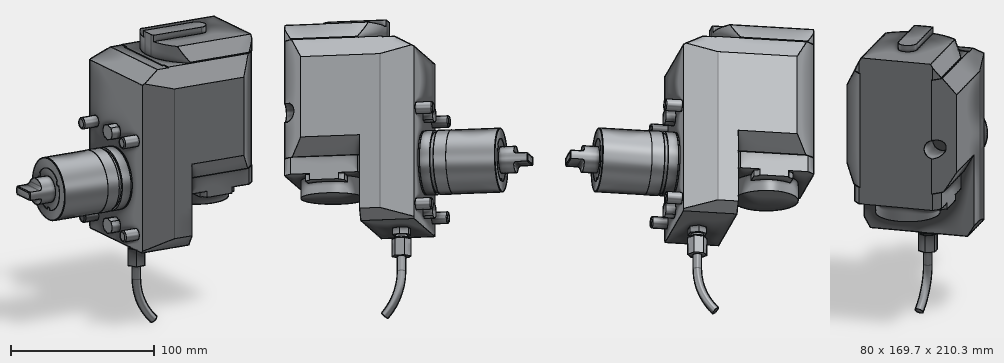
import cadquery as cq
import math


overall_height = 210.3

half_width = 40.0
face_half_width = 36.2
taper_length = 23.5
back_y = 94.2
back_half_width = 26.0
back_chamfer_length = 14.3
body_top = 85.2
body_bottom = 1.7
plate_bottom = -45.8
plate_back = 38.0
plate_step = 0.5
plate_bevel_depth = 14.5
plate_bevel_drop = 8.2
tongue_half_width = 25.9
tongue_front = 22.3

bevel_angle = 30.0
bevel_slope = math.tan(math.radians(bevel_angle))
wedge_overhang = 2.0
bevel_height_top = 13.9
bevel_height_body = 12.6
bevel_height_plate = 8.0

head_y = 65.2
head_radius = 39.5
head_half_width = 31.5
head_flat = 25.9
cap_top = 96.7
key_top = 101.4
key_width = 13.5
flange_bottom = -10.3
lug_bottom = -14.7
lug_width = 27.8
lug_corner_radius = 3.5
boss_diameter = 45.0
boss_bottom = -22.7

inlet_diameter = 13.5
inlet_x = -27.3
inlet_z = 34.0
inlet_depth = 21.0

shank_diameter = 45.0
shank_end_diameter = 44.8
relief_diameter = 44.5
groove_diameter = 42.0
shank_length = 54.9
shank_collar_length = 19.8
relief_length = 1.0
groove_start = 8.2
groove_end = 10.7
shank_chamfer = 0.5
drive_diameter = 18.7
drive_shoulder = 65.2
drive_end = 75.5
tang_thickness = 6.0
tang_fillet = 2.0
tang_chamfer = 0.6

inset_diameter = 30.0
inset_depth = 0.2
notch_radius = 1.9
notch_angles = (30, 150, 270)

bolt_diameter = 8.2
bolt_x = 27.8
bolt_z = 34.0
upper_bolt_length = 12.0
lower_bolt_length = 11.4
bolt_chamfer = 0.8
pin_diameter = 12.2
pin_length = 7.0
pin_ridge = 5.5
pin_relief_half_width = 4.5

hose_y = 16.5
upper_nut_corners = 13.5
upper_nut_bottom = -50.5
neck_diameter = 8.8
neck_bottom = -52.2
collar_diameter = 9.9
lower_nut_top = -53.2
lower_nut_bottom = -65.6
lower_nut_corners = 13.7
hose_diameter = 6.0
hose_bend_angle = 45.0
hose_bend_radius = 43.5
hose_heading = 78.0
hose_lowest = key_top - overall_height


def cylinder_y(diameter, y_start, y_end, x=0.0, z=0.0):
    """Cylinder along Y that runs from y_start down to y_end."""
    plane = cq.Plane(origin=(x, y_start, z), xDir=(1, 0, 0), normal=(0, -1, 0))
    return cq.Workplane(plane).circle(diameter / 2).extrude(y_start - y_end)


def cylinder_z(diameter, z_low, z_high, y):
    """Vertical cylinder centred on x = 0."""
    return cq.Workplane("XY", origin=(0, y, z_low)).circle(diameter / 2).extrude(z_high - z_low)


def block(x_size, y_low, y_high, z_low, z_high):
    """Box centred on x = 0."""
    base = cq.Workplane("XY", origin=(0, y_low, z_low))
    return base.box(x_size, y_high - y_low, z_high - z_low, centered=(True, False, False))


def side_bevels(z_start, z_end, y_low, y_high):
    """Pair of wedges that cut the sides inward from z_start to z_end."""
    run = abs(z_end - z_start) * bevel_slope
    outer = half_width + wedge_overhang
    wedge = (
        cq.Workplane("XZ", origin=(0, y_high, 0))
        .polyline([(half_width, z_start), (half_width - run, z_end), (outer, z_end), (outer, z_start)])
        .close()
        .extrude(y_high - y_low)
    )
    return wedge.union(wedge.mirror("YZ"))


def make_housing():
    plate_top = body_top - plate_step
    side_outline = [
        (0, plate_bottom),
        (plate_back, plate_bottom),
        (plate_back, body_bottom),
        (back_y, body_bottom),
        (back_y, body_top),
        (tongue_front, body_top),
        (tongue_front, plate_top),
        (plate_bevel_depth, plate_top),
        (0, plate_top - plate_bevel_drop),
    ]
    right_plan = [
        (face_half_width, 0),
        (half_width, taper_length),
        (half_width, back_y - back_chamfer_length),
        (back_half_width, back_y),
    ]
    plan_outline = right_plan + [(-x, y) for x, y in reversed(right_plan)]
    housing = cq.Workplane("YZ").polyline(side_outline).close().extrude(half_width, both=True)
    plan = cq.Workplane("XY", origin=(0, 0, plate_bottom)).polyline(plan_outline).close()
    housing = housing.intersect(plan.extrude(body_top - plate_bottom))

    step = block(2 * half_width, tongue_front, taper_length, plate_top, body_top)
    tongue = block(2 * tongue_half_width, tongue_front, taper_length, plate_top, body_top)
    housing = housing.cut(step.cut(tongue))

    housing = housing.cut(side_bevels(body_top - bevel_height_top, body_top, 0, back_y))
    housing = housing.cut(side_bevels(body_bottom + bevel_height_body, body_bottom, plate_back, back_y))
    housing = housing.cut(side_bevels(plate_bottom + bevel_height_plate, plate_bottom, 0, plate_back))
    inlet = cylinder_y(inlet_diameter, back_y, back_y - inlet_depth, inlet_x, inlet_z)
    return housing.cut(inlet)


def head_disc(z_low, z_high, front_y):
    """Round head plate with flat sides, front and back."""
    disc = cylinder_z(2 * head_radius, z_low, z_high, head_y)
    return disc.intersect(block(2 * head_half_width, front_y, back_y, z_low, z_high))


def make_cap():
    bevels = side_bevels(body_top - bevel_height_top, cap_top, 0, back_y)
    cap = head_disc(body_top, cap_top, head_flat).cut(bevels)
    key = block(key_width, 0, head_y, cap_top, key_top)
    key = key.union(cylinder_z(key_width, cap_top, key_top, head_y))
    return cap.union(key.intersect(head_disc(cap_top, key_top, head_flat)))


def make_lower_flange():
    flange = head_disc(flange_bottom, body_bottom, plate_back)
    half_lug = lug_width / 2
    lug = block(2 * head_half_width, head_y - half_lug, head_y + half_lug, lug_bottom, flange_bottom)
    corners = (
        cq.Workplane("XY", origin=(0, head_y, lug_bottom))
        .rect(2 * head_half_width, lug_width, forConstruction=True)
        .vertices()
        .circle(lug_corner_radius)
        .extrude(flange_bottom - lug_bottom)
    )
    boss = cylinder_z(boss_diameter, boss_bottom, flange_bottom, head_y)
    return flange.union(lug.cut(corners)).union(boss)


def make_shank():
    shank = cylinder_y(relief_diameter, 0, -relief_length)
    shank = shank.union(cylinder_y(shank_diameter, -relief_length, -groove_start))
    shank = shank.union(cylinder_y(groove_diameter, -groove_start, -groove_end))
    shank = shank.union(cylinder_y(shank_diameter, -groove_end, -shank_collar_length))
    end = cylinder_y(shank_end_diameter, -shank_collar_length, -shank_length)
    shank = shank.union(end.faces("<Y").chamfer(shank_chamfer))

    inset_floor = inset_depth - shank_length
    inset = cylinder_y(inset_diameter, inset_floor, -shank_length)
    for angle in notch_angles:
        x = inset_diameter / 2 * math.cos(math.radians(angle))
        z = inset_diameter / 2 * math.sin(math.radians(angle))
        inset = inset.cut(cylinder_y(2 * notch_radius, inset_floor, -shank_length, x, z))
    return shank.cut(inset).union(make_drive(inset_floor))


def make_drive(start_y):
    """Round drive journal that ends in a flat tang."""
    drive = cylinder_y(drive_diameter, start_y, -drive_end)
    half_tang = tang_thickness / 2
    fillet_top = half_tang + tang_fillet
    outside = drive_diameter
    waste = (
        cq.Workplane("YZ")
        .moveTo(-drive_end, half_tang)
        .lineTo(-drive_shoulder - tang_fillet, half_tang)
        .radiusArc((-drive_shoulder, fillet_top), -tang_fillet)
        .lineTo(-drive_shoulder, outside)
        .lineTo(-drive_end, outside)
        .close()
        .extrude(outside, both=True)
    )
    drive = drive.cut(waste).cut(waste.mirror("XY"))
    return drive.faces("<Y").chamfer(tang_chamfer)


def make_bolts():
    bolts = cq.Workplane("XY")
    for x in (-bolt_x, bolt_x):
        for z, length in ((bolt_z, upper_bolt_length), (-bolt_z, lower_bolt_length)):
            bolt = cylinder_y(bolt_diameter, 0, -length, x, z)
            bolts = bolts.union(bolt.faces("<Y").chamfer(bolt_chamfer))
    return bolts


def make_pins():
    """Locating pins whose top and bottom are relieved to a shallow ridge."""
    radius = pin_diameter / 2
    relief_z = math.sqrt(radius**2 - pin_relief_half_width**2)
    outline = (
        cq.Workplane("XZ")
        .moveTo(pin_relief_half_width, relief_z)
        .lineTo(0, pin_ridge)
        .lineTo(-pin_relief_half_width, relief_z)
        .threePointArc((-radius, 0), (-pin_relief_half_width, -relief_z))
        .lineTo(0, -pin_ridge)
        .lineTo(pin_relief_half_width, -relief_z)
        .threePointArc((radius, 0), (pin_relief_half_width, relief_z))
        .close()
    )
    pin = outline.extrude(pin_length)
    return pin.translate((0, 0, bolt_z)).union(pin.translate((0, 0, -bolt_z)))


def hex_nut(corners, z_low, z_high, rotation):
    """Hexagon nut on the hose axis; at rotation 0 two corners lie along X."""
    nut = cq.Workplane("XY").polygon(6, corners).extrude(z_high - z_low)
    return nut.rotate((0, 0, 0), (0, 0, 1), rotation).translate((0, hose_y, z_low))


def make_hose():
    fitting = hex_nut(upper_nut_corners, upper_nut_bottom, plate_bottom, 0)
    fitting = fitting.union(cylinder_z(neck_diameter, neck_bottom, upper_nut_bottom, hose_y))
    fitting = fitting.union(cylinder_z(collar_diameter, lower_nut_top, neck_bottom, hose_y))
    fitting = fitting.union(hex_nut(lower_nut_corners, lower_nut_bottom, lower_nut_top, 90))

    bend = math.radians(hose_bend_angle)
    end_z = hose_lowest + hose_diameter / 2 * math.sin(bend)
    bend_z = end_z + hose_bend_radius * math.sin(bend)
    bend_plane = cq.Plane(origin=(0, 0, 0), xDir=(1, 0, 0), normal=(0, -1, 0))
    path = (
        cq.Workplane(bend_plane)
        .moveTo(0, lower_nut_bottom)
        .lineTo(0, bend_z)
        .radiusArc((hose_bend_radius * (1 - math.cos(bend)), end_z), -hose_bend_radius)
    )
    hose = cq.Workplane("XY", origin=(0, 0, lower_nut_bottom)).circle(hose_diameter / 2).sweep(path)
    hose = hose.rotate((0, 0, 0), (0, 0, 1), hose_heading).translate((0, hose_y, 0))
    return fitting.union(hose)


result = (
    make_housing()
    .union(make_cap())
    .union(make_lower_flange())
    .union(make_shank())
    .union(make_bolts())
    .union(make_pins())
    .union(make_hose())
)